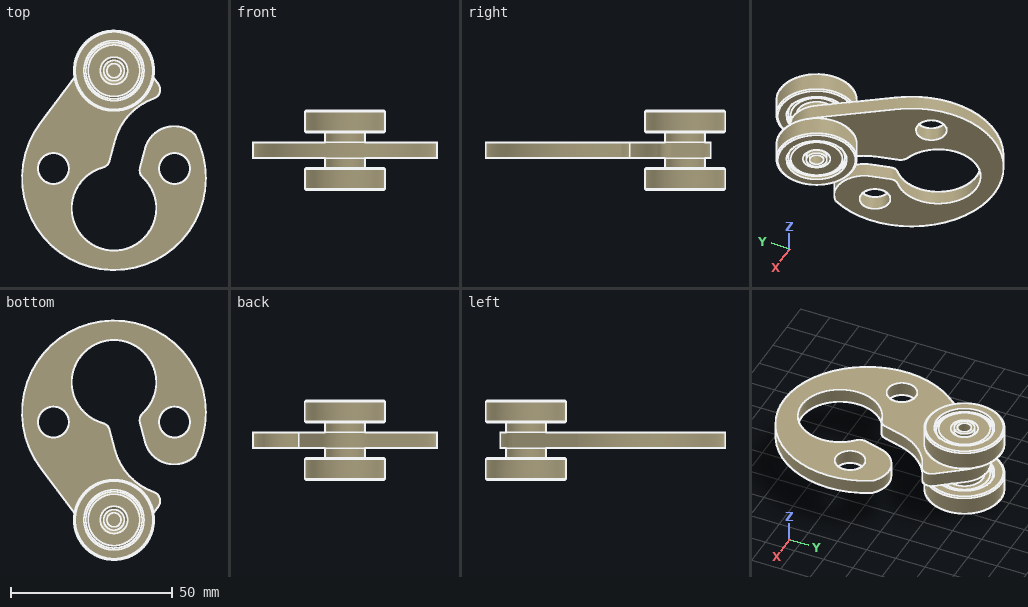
import cadquery as cq
import math


WHEEL_DIAMETER = 25.0
WHEEL_THICKNESS = 6.9
RIM_CHAMFER = 0.45
RIM_INNER_DIAMETER = 18.65
HUB_FACE_DIAMETER = 16.0
HUB_RECESS = 0.5
HUB_CHAMFER = 0.75
COUNTERSINK_DIAMETER = 8.5

PIN_DIAMETER = 6.4
PIN_BORE_DIAMETER = 4.4
PIN_BORE_DEPTH = 7.4
PIN_RECESS = 0.15
SPACER_DIAMETER = 12.5

PLATE_THICKNESS = 4.8
WHEEL_GAP = 3.05
WHEEL_CENTER_Z = PLATE_THICKNESS / 2 + WHEEL_GAP + WHEEL_THICKNESS / 2
TOP_Z = WHEEL_CENTER_Z + WHEEL_THICKNESS / 2
PIN_LENGTH = 2 * (TOP_Z - PIN_RECESS)
SPACER_LENGTH = WHEEL_GAP + HUB_RECESS

TOTAL_LENGTH = 74.35
BODY_RADIUS = 28.55
BODY_CENTER = (0, WHEEL_DIAMETER / 2 - TOTAL_LENGTH + BODY_RADIUS)
LOBE_RADIUS = 9.4
ARM_CENTER = (0, -1.35)
HOOK_CENTER = (18.65, -26.55)
THROAT_RADIUS = 13.1
THROAT_CENTER = (0, -42.7)
SLOT_WIDTH = 9.6
SLOT_TILT = 15
CORNER_RADIUS = 3.0
HOOK_CORNER_RADIUS = 1.1
HOLE_DIAMETER = 9.5
HOLE_SPACING = 37.55
HOLE_Y = -30.3


def polar(center, radius, angle):
    """Point at an angle in radians on a circle."""
    return (center[0] + radius * math.cos(angle), center[1] + radius * math.sin(angle))


def angle_from(center, point):
    return math.atan2(point[1] - center[1], point[0] - center[0])


def line_meets_circle(start, direction, center, radius):
    """First point where a ray along a unit direction enters a circle."""
    offset = (start[0] - center[0], start[1] - center[1])
    along = offset[0] * direction[0] + offset[1] * direction[1]
    clearance = offset[0] ** 2 + offset[1] ** 2 - radius ** 2
    travel = -along - math.sqrt(along ** 2 - clearance)
    return (start[0] + travel * direction[0], start[1] + travel * direction[1])


def circles_meet(center_a, radius_a, center_b, radius_b, side):
    """Crossing of two circles; side +1 or -1 is left or right of the line from a to b."""
    distance = math.dist(center_a, center_b)
    cosine = (radius_a ** 2 + distance ** 2 - radius_b ** 2) / (2 * radius_a * distance)
    return polar(center_a, radius_a, angle_from(center_a, center_b) + side * math.acos(cosine))


def make_plate():
    flank_angle = math.asin((BODY_RADIUS - LOBE_RADIUS) / (ARM_CENTER[1] - BODY_CENTER[1]))
    body_left = polar(BODY_CENTER, BODY_RADIUS, math.pi - flank_angle)
    arm_left = polar(ARM_CENTER, LOBE_RADIUS, math.pi - flank_angle)
    arm_top = polar(ARM_CENTER, LOBE_RADIUS, math.pi / 2)
    arm_right = polar(ARM_CENTER, LOBE_RADIUS, flank_angle)

    slot_radius = LOBE_RADIUS + SLOT_WIDTH
    slot_angle = math.pi - math.radians(SLOT_TILT)
    slot_direction = (-math.sin(math.radians(SLOT_TILT)), -math.cos(math.radians(SLOT_TILT)))
    flank_direction = (math.sin(flank_angle), -math.cos(flank_angle))
    tip = line_meets_circle(arm_right, flank_direction, HOOK_CENTER, slot_radius)
    slot_middle = polar(HOOK_CENTER, slot_radius, (angle_from(HOOK_CENTER, tip) + slot_angle) / 2)
    slot_outer = polar(HOOK_CENTER, slot_radius, slot_angle)
    slot_inner = polar(HOOK_CENTER, LOBE_RADIUS, slot_angle)
    throat_left = line_meets_circle(slot_outer, slot_direction, THROAT_CENTER, THROAT_RADIUS)
    throat_right = line_meets_circle(slot_inner, slot_direction, THROAT_CENTER, THROAT_RADIUS)
    throat_bottom = polar(THROAT_CENTER, THROAT_RADIUS, -math.pi / 2)

    hook_top = polar(HOOK_CENTER, LOBE_RADIUS, math.pi / 2)
    hook_corner = circles_meet(BODY_CENTER, BODY_RADIUS, HOOK_CENTER, LOBE_RADIUS, 1)
    body_bottom = polar(BODY_CENTER, BODY_RADIUS, -math.pi / 2)

    plate = (
        cq.Workplane("XY")
        .workplane(offset=-PLATE_THICKNESS / 2)
        .moveTo(*body_left)
        .lineTo(*arm_left)
        .threePointArc(arm_top, arm_right)
        .lineTo(*tip)
        .threePointArc(slot_middle, slot_outer)
        .lineTo(*throat_left)
        .threePointArc(throat_bottom, throat_right)
        .lineTo(*slot_inner)
        .threePointArc(hook_top, hook_corner)
        .threePointArc(body_bottom, body_left)
        .close()
        .extrude(PLATE_THICKNESS)
    )
    corner_radii = [
        (tip, CORNER_RADIUS),
        (throat_left, CORNER_RADIUS),
        (throat_right, CORNER_RADIUS),
        (hook_corner, HOOK_CORNER_RADIUS),
    ]
    for corner, radius in corner_radii:
        plate = plate.edges(cq.NearestToPointSelector((*corner, 0))).fillet(radius)

    hole_centers = [(side * HOLE_SPACING / 2, HOLE_Y) for side in (-1, 1)]
    holes = cq.Workplane("XY").pushPoints(hole_centers).circle(HOLE_DIAMETER / 2)
    pin_hole = cq.Workplane("XY").circle(PIN_DIAMETER / 2)
    return (
        plate
        .cut(holes.extrude(PLATE_THICKNESS, both=True))
        .cut(pin_hole.extrude(PLATE_THICKNESS, both=True))
    )


def make_wheel(center_z):
    """Wheel of revolution with the same stepped faces above and below."""
    rim_z = WHEEL_THICKNESS / 2
    hub_z = rim_z - HUB_RECESS
    bore_radius = PIN_DIAMETER / 2
    sink_radius = COUNTERSINK_DIAMETER / 2
    hub_radius = HUB_FACE_DIAMETER / 2
    rim_radius = RIM_INNER_DIAMETER / 2
    outer_radius = WHEEL_DIAMETER / 2
    upper_profile = [
        (bore_radius, hub_z - (sink_radius - bore_radius)),
        (sink_radius, hub_z),
        (hub_radius, hub_z),
        (hub_radius + HUB_CHAMFER, hub_z - HUB_CHAMFER),
        (rim_radius, hub_z - HUB_CHAMFER),
        (rim_radius, rim_z),
        (outer_radius - RIM_CHAMFER, rim_z),
        (outer_radius, rim_z - RIM_CHAMFER),
    ]
    lower_profile = [(radius, -z) for radius, z in reversed(upper_profile)]
    return (
        cq.Workplane("XZ")
        .polyline(upper_profile + lower_profile)
        .close()
        .revolve(360, (0, 0, 0), (0, 1, 0))
        .translate((0, 0, center_z))
    )


def make_spacer(side):
    """Sleeve between the plate and a wheel hub; side is +1 above or -1 below."""
    center_z = side * (PLATE_THICKNESS + SPACER_LENGTH) / 2
    return (
        cq.Workplane("XY")
        .workplane(offset=center_z - SPACER_LENGTH / 2)
        .circle(SPACER_DIAMETER / 2)
        .circle(PIN_DIAMETER / 2)
        .extrude(SPACER_LENGTH)
    )


def make_pin():
    """Pin with a blind bore in each end."""
    pin = cq.Workplane("XY").circle(PIN_DIAMETER / 2).extrude(PIN_LENGTH / 2, both=True)
    for end in (">Z", "<Z"):
        pin = pin.faces(end).workplane().hole(PIN_BORE_DIAMETER, PIN_BORE_DEPTH)
    return pin


plate = make_plate()
pin = make_pin()
wheels = [make_wheel(side * WHEEL_CENTER_Z) for side in (-1, 1)]
spacers = [make_spacer(side) for side in (-1, 1)]

result = cq.Compound.makeCompound(
    [plate.val(), pin.val()]
    + [wheel.val() for wheel in wheels]
    + [spacer.val() for spacer in spacers]
)